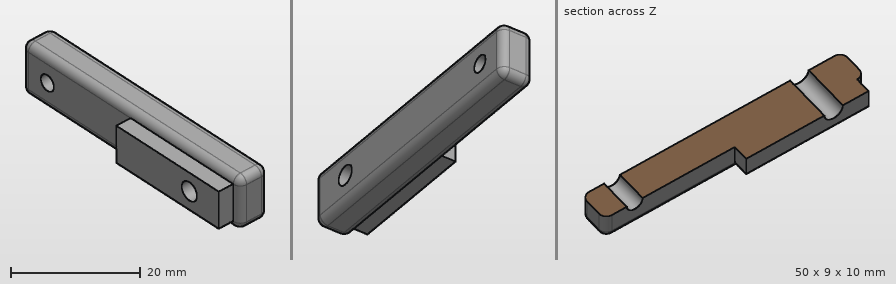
import cadquery as cq

length = 50
depth = 6
height = 10
edge_radius = 1.45

pad_depth = 3
pad_length = length / 2 - edge_radius
pad_height = height - 2 * edge_radius

small_hole_from_left = 5.85
small_hole_diameter = 3
large_hole_from_left = 41.8
large_hole_diameter = 3.5


def make_bar():
    bar = cq.Workplane("XY").box(length, depth, height, centered=(True, False, True))
    return bar.edges().fillet(edge_radius)


def make_pad():
    pad = cq.Workplane("XY").box(
        pad_length, pad_depth + depth / 2, pad_height, centered=(False, False, True)
    )
    return pad.translate((0, -pad_depth, 0))


def make_hole(from_left, diameter):
    return (
        cq.Workplane("XZ")
        .center(from_left - length / 2, 0)
        .circle(diameter / 2)
        .extrude(depth + pad_depth, both=True)
    )


result = make_bar().union(make_pad())
result = result.cut(make_hole(small_hole_from_left, small_hole_diameter))
result = result.cut(make_hole(large_hole_from_left, large_hole_diameter))